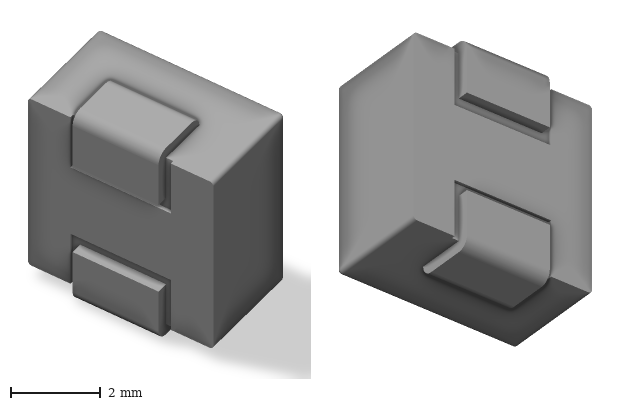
import cadquery as cq

body_side = 5.0
total_height = 5.6
total_depth = 3.01

lead_width = 2.32
lead_arm = 1.61
lead_foot = 1.5
foot_protrusion = 0.2
lead_thickness = (total_height - body_side) / 2
lead_radius = lead_thickness

pocket_width = 2.705
pocket_height = 1.5
pocket_depth = lead_thickness - foot_protrusion

edge_radius = 0.1

body_depth = total_depth - foot_protrusion
body_top = body_side / 2
lead_top = total_height / 2
foot_front = -foot_protrusion
foot_back = foot_front + lead_thickness
arm_end = foot_front + lead_arm


def make_body():
    """Block with every edge rounded except those around the front face."""
    block = cq.Workplane("XY").box(body_side, body_depth, body_side, centered=(True, False, True))
    return block.edges("not(<Y)").fillet(edge_radius)


def make_upper_pocket():
    """Shallow recess in the front face, open at the top of the body."""
    return (
        cq.Workplane("XY")
        .box(pocket_width, pocket_depth, pocket_height, centered=(True, False, False))
        .translate((0, 0, body_top - pocket_height))
    )


def make_upper_lead():
    """L-shaped strip with a rounded bend and a rounded arm end."""
    return (
        cq.Workplane("YZ")
        .moveTo(foot_front, lead_top - lead_foot)
        .lineTo(foot_front, lead_top - lead_radius)
        .radiusArc((foot_front + lead_radius, lead_top), lead_radius)
        .lineTo(arm_end - lead_radius, lead_top)
        .radiusArc((arm_end, body_top), lead_radius)
        .lineTo(foot_back, body_top)
        .lineTo(foot_back, lead_top - lead_foot)
        .close()
        .extrude(lead_width / 2, both=True)
    )


def with_lower_copy(upper):
    """The upper feature together with its mirror image below the XY plane."""
    return [upper, upper.mirror("XY")]


result = make_body()
for pocket in with_lower_copy(make_upper_pocket()):
    result = result.cut(pocket)
for lead in with_lower_copy(make_upper_lead()):
    result = result.union(lead)